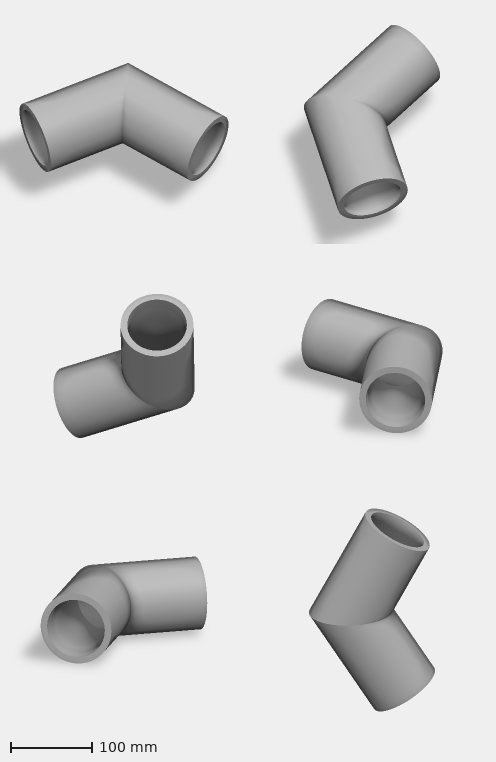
import cadquery as cq
import math

overall_length = 224.0
outer_diameter = 90.0
wall = 8.3
bend_angle = 60.0

outer_radius = outer_diameter / 2
inner_radius = outer_radius - wall
bend = math.radians(bend_angle)
mitre = bend / 2

leg_length = (overall_length - outer_radius * math.sin(bend)) / (1 + math.cos(bend))

mitre_normal = (math.sin(mitre), math.cos(mitre), 0)
mitre_line = (math.cos(mitre), -math.sin(mitre), 0)


def mitred_leg(radius):
    """Solid round leg along -Y with a square outer end and a mitred inner end."""
    rod = (
        cq.Workplane("XZ", origin=(0, -leg_length, 0))
        .circle(radius)
        .extrude(-(leg_length + outer_diameter))
    )
    block_size = 4 * outer_diameter
    mitre_plane = cq.Plane(origin=(0, 0, 0), xDir=(0, 0, 1), normal=mitre_normal)
    beyond_mitre = cq.Workplane(mitre_plane).rect(block_size, block_size).extrude(block_size)
    return rod.cut(beyond_mitre)


def solid_elbow(radius):
    """Two solid legs; a half turn about the mitre line carries the first onto the second."""
    first_leg = mitred_leg(radius)
    second_leg = first_leg.rotate((0, 0, 0), mitre_line, 180)
    return first_leg.union(second_leg)


result = solid_elbow(outer_radius).cut(solid_elbow(inner_radius))